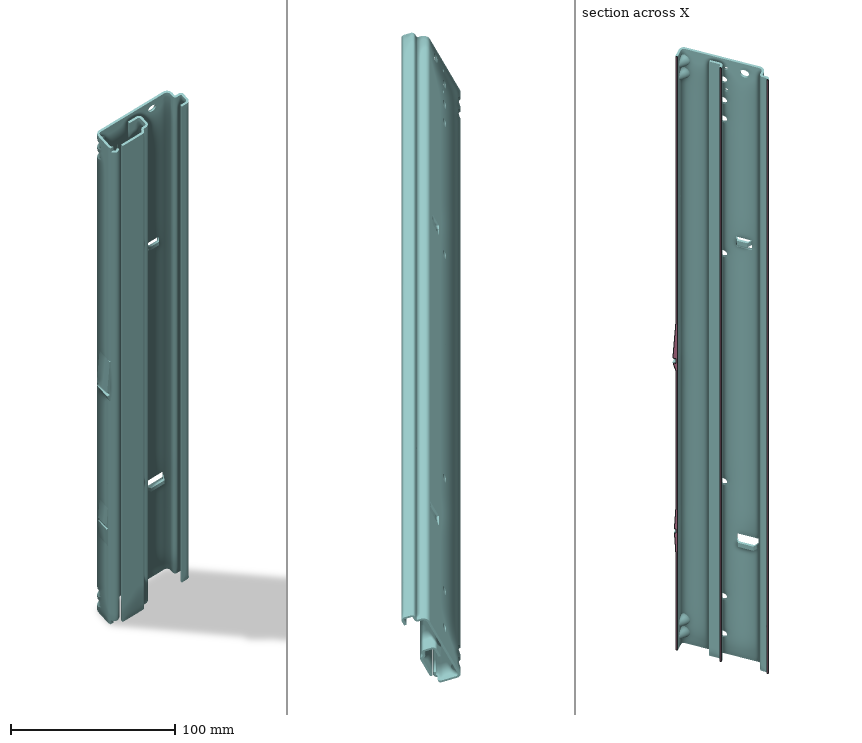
import cadquery as cq
import math

overall_length = 500.0
nib_length = 1.0
rail_bottom_z = nib_length
rail_top_z = overall_length
length = rail_top_z - rail_bottom_z
width = 18.0
height = 60.5
sheet = 1.5
half_sheet = sheet / 2

web_x = half_sheet
bottom_y = half_sheet
shoulder_y = 55.5 - half_sheet
race_y = height - half_sheet
race_left_x = 7.5
race_right_x = 15.0
race_tip_y = 54.0
lip_start_x = 14.0
lip_crest = (17.0, 3.5)
lip_tip = (15.5, 6.0)
lip_curl_bend = 1.5
lip_bend = 3.0
bottom_bend = 2.5
shoulder_bend = 3.5
race_bend = 2.0
tight_bend = 1.25
lip_relief = 4.0
lip_relief_x = 15.0

nib_x = (14.0, 14.5)

inner_web_x = width - half_sheet
inner_web_bottom_y = 7.5
inner_shoulder_low_y = 23.5
inner_shoulder_high_y = 25.0
inner_riser_x = 14.5
inner_top_y = 30.0 - half_sheet
inner_hook_x = 6.0
inner_hook_tip_y = 21.0

mount_hole_diameter = 5.5
mount_hole_y = 28.0
mount_hole_heights = (17.0, 48.5, 145.0, 336.5, 449.5, 465.0, 482.5)
pilot_hole_diameter = 2.5
pilot_hole_y = 30.0
pilot_hole_heights = (474.5, 492.5)
locating_hole_diameter = 6.0
locating_hole_y = 42.0
locating_hole_z = 492.0

bridge_depth = 3.25
bridge_height = 3.5
slot_height = 4.5
bridge_slope = 2.0
lower_bridge_y = (37.0, 51.0)
lower_bridge_z = 96.5
upper_bridge_y = (36.5, 47.0)
upper_slot_z = 345.5

dent_radius = 4.25
dent_end_offsets = (9.5, 20.0)

ramp_left_x = 4.5
latch_right_x = 15.0
latch_rise = 2.0
latch_top_z = 276.5
latch_edge_z = 245.5
latch_stop_z = 242.0
latch_bottom_z = 235.5
detent_right_x = 13.0
detent_rise = 1.0
detent_top_z = 121.0
detent_upper_edge_z = 102.5
detent_lower_edge_z = 99.5
detent_bottom_z = 81.5


def direction(start, end):
    return (cq.Vector(*end) - cq.Vector(*start)).normalized()


def bent_strip(corners, radii):
    """Sheet strip of the full rail length along a path of lines, with a bend at each inner corner."""
    path = cq.Workplane("XY").moveTo(*corners[0])
    for before, corner, after, radius in zip(corners, corners[1:], corners[2:], radii):
        arriving = direction(before, corner)
        leaving = direction(corner, after)
        turn = arriving.getAngle(leaving)
        setback = radius * math.tan(turn / 2)
        bulge = radius * (1 / math.cos(turn / 2) - 1)
        point = cq.Vector(*corner)
        bend_start = point - arriving * setback
        bend_middle = point + (leaving - arriving).normalized() * bulge
        bend_end = point + leaving * setback
        path = path.lineTo(bend_start.x, bend_start.y)
        path = path.threePointArc((bend_middle.x, bend_middle.y), (bend_end.x, bend_end.y))
    path = path.lineTo(*corners[-1])
    start_plane = cq.Plane(
        origin=(*corners[0], rail_bottom_z + length / 2),
        xDir=(0, 0, 1),
        normal=direction(corners[0], corners[1]).toTuple(),
    )
    return cq.Workplane(start_plane).rect(length, sheet).sweep(path)


def block(x_range, y_range, z_range):
    """Box between two limits on each axis."""
    limits = (x_range, y_range, z_range)
    sizes = [high - low for low, high in limits]
    return cq.Workplane("XY").box(*sizes, centered=False).translate([low for low, high in limits])


def web_hole(diameter, y, z):
    return cq.Workplane("YZ").center(y, z).circle(diameter / 2).extrude(sheet)


def bridge(y_range, bottom_z):
    """Strip of the web pushed inward, with sloping ends."""
    low, high = y_range
    low_crest = low + bridge_slope
    high_crest = high - bridge_slope
    outline = [
        (0, low),
        (bridge_depth, low_crest),
        (bridge_depth, high_crest),
        (0, high),
        (sheet, high),
        (sheet + bridge_depth, high_crest),
        (sheet + bridge_depth, low_crest),
        (sheet, low),
    ]
    return cq.Workplane("XY", origin=(0, 0, bottom_z)).polyline(outline).close().extrude(bridge_height)


def add_bridge(rail, y_range, bridge_z, slot_z):
    """Open the web over the bridge and its slot, then put the bridge in."""
    window_bottom = min(bridge_z, slot_z)
    window_top = max(bridge_z + bridge_height, slot_z + slot_height)
    rail = rail.cut(block((0, sheet), y_range, (window_bottom, window_top)))
    return rail.union(bridge(y_range, bridge_z))


def dent_cylinder(radius, z):
    """Cylinder that crosses the bottom corner at 45 degrees to both faces."""
    across = cq.Plane(origin=(0, 0, z), xDir=(0, 0, 1), normal=(1, -1, 0))
    return cq.Workplane(across).circle(radius).extrude(2 * radius, both=True)


def add_dent(rail, z):
    wall_radius = dent_radius + sheet
    reach = wall_radius * math.sqrt(2)
    inside = block((half_sheet, reach), (half_sheet, reach), (z - wall_radius, z + wall_radius))
    rail = rail.union(dent_cylinder(wall_radius, z).intersect(inside))
    return rail.cut(dent_cylinder(dent_radius, z))


def flange_ramp(profile, right_x):
    """Ramp on the flange from (Y, Z) points, starting half a sheet deep so that it joins."""
    left_face = cq.Workplane("YZ", origin=(ramp_left_x, 0, 0))
    return left_face.polyline(profile).close().extrude(right_x - ramp_left_x)


def latch_ramp():
    profile = [
        (half_sheet, latch_top_z),
        (0, latch_top_z),
        (-latch_rise, latch_edge_z),
        (0, latch_edge_z),
        (0, latch_stop_z),
        (-latch_rise, latch_stop_z),
        (0, latch_bottom_z),
        (half_sheet, latch_bottom_z),
    ]
    return flange_ramp(profile, latch_right_x)


def detent_ramp():
    profile = [
        (half_sheet, detent_top_z),
        (0, detent_top_z),
        (-detent_rise, detent_upper_edge_z),
        (0, detent_upper_edge_z),
        (0, detent_lower_edge_z),
        (-detent_rise, detent_lower_edge_z),
        (0, detent_bottom_z),
        (half_sheet, detent_bottom_z),
    ]
    return flange_ramp(profile, detent_right_x)


def make_outer_rail():
    corners = [
        lip_tip,
        lip_crest,
        (lip_start_x, bottom_y),
        (web_x, bottom_y),
        (web_x, shoulder_y),
        (race_left_x, shoulder_y),
        (race_left_x, race_y),
        (race_right_x, race_y),
        (race_right_x, race_tip_y),
    ]
    radii = (lip_curl_bend, lip_bend, bottom_bend, shoulder_bend, tight_bend, tight_bend, race_bend)
    rail = bent_strip(corners, radii)

    for z in mount_hole_heights:
        rail = rail.cut(web_hole(mount_hole_diameter, mount_hole_y, z))
    for z in pilot_hole_heights:
        rail = rail.cut(web_hole(pilot_hole_diameter, pilot_hole_y, z))
    rail = rail.cut(web_hole(locating_hole_diameter, locating_hole_y, locating_hole_z))

    rail = add_bridge(rail, lower_bridge_y, lower_bridge_z, lower_bridge_z + bridge_height)
    rail = add_bridge(rail, upper_bridge_y, upper_slot_z + slot_height, upper_slot_z)

    for offset in dent_end_offsets:
        for z in (rail_bottom_z + offset, rail_top_z - offset):
            rail = add_dent(rail, z)

    for relief_z in (rail_bottom_z, rail_top_z - lip_relief):
        relief_range = (relief_z, relief_z + lip_relief)
        rail = rail.cut(block((lip_relief_x, width), (0, inner_web_bottom_y), relief_range))

    nib = block(nib_x, (height - sheet, height), (0, rail_bottom_z))
    return rail.union(nib).union(latch_ramp()).union(detent_ramp())


def make_inner_rail():
    corners = [
        (inner_web_x, inner_web_bottom_y),
        (inner_web_x, inner_shoulder_low_y),
        (inner_riser_x, inner_shoulder_high_y),
        (inner_riser_x, inner_top_y),
        (inner_hook_x, inner_top_y),
        (inner_hook_x, inner_hook_tip_y),
    ]
    radii = (tight_bend, tight_bend, race_bend, race_bend)
    return bent_strip(corners, radii)


outer_rail = make_outer_rail()
inner_rail = make_inner_rail()
result = cq.Compound.makeCompound([outer_rail.solids().val(), inner_rail.solids().val()])